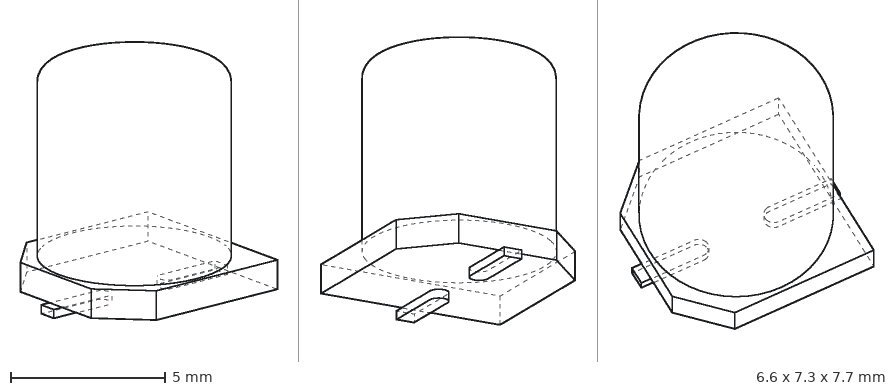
import cadquery as cq

base_side = 6.6
base_height = 1.0
corner_cut = 1.5

can_diameter = 6.3
can_edge_radius = 0.5

terminal_span = 7.3
terminal_width = 0.65
terminal_thickness = 0.3
terminal_gap = 2.1

total_height = 7.7
base_top = terminal_thickness + base_height


def make_base():
    """Square plate with the two -Y corners cut off."""
    return (
        cq.Workplane("XY")
        .workplane(offset=terminal_thickness)
        .rect(base_side, base_side)
        .extrude(base_height)
        .edges("|Z and <Y")
        .chamfer(corner_cut)
    )


def make_can():
    """Upright cylinder with a rounded top rim."""
    return (
        cq.Workplane("XY")
        .workplane(offset=base_top)
        .circle(can_diameter / 2)
        .extrude(total_height - base_top)
        .faces(">Z")
        .edges()
        .fillet(can_edge_radius)
    )


def make_terminal(side):
    """Flat strip under the base with a half-round inner end; side is +1 or -1 along Y."""
    half_width = terminal_width / 2
    outer_y = side * terminal_span / 2
    inner_y = side * terminal_gap / 2
    arc_start_y = inner_y + side * half_width
    return (
        cq.Workplane("XY")
        .moveTo(-half_width, outer_y)
        .lineTo(-half_width, arc_start_y)
        .threePointArc((0, inner_y), (half_width, arc_start_y))
        .lineTo(half_width, outer_y)
        .close()
        .extrude(terminal_thickness)
    )


result = make_base().union(make_can())
for side in (1, -1):
    result = result.union(make_terminal(side))